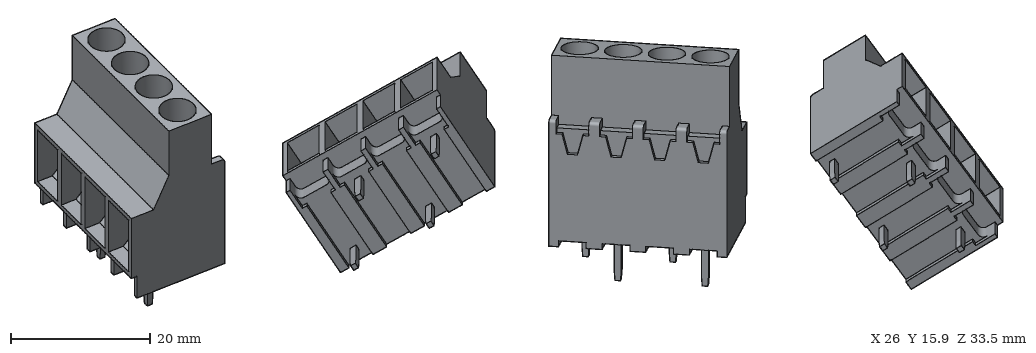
import cadquery as cq

WIDTH = 26.0
DEPTH = 15.85
HEIGHT = 33.5

POLE_COUNT = 4
PITCH = 6.35
POLE_CENTRES = [(pole - (POLE_COUNT - 1) / 2) * PITCH for pole in range(POLE_COUNT)]

FOOT_Z = 5.1
LIP_Z = 9.08
FRONT_TOP_Z = 20.15
SHOULDER_Z = 24.35
SLOPE_TOP_Z = 25.35
LIP_OVERHANG = 0.95
SLOPE_BOTTOM_Y = 3.75
NECK_FRONT_Y = 6.35
NECK_BACK_Y = 13.65
SHOULDER_RADIUS = 0.5

SCREW_DIAMETER = 5.35
SCREW_DEPTH = HEIGHT - SLOPE_TOP_Z

ENTRY_WIDTH = 5.33
ENTRY_FLOOR_Z = 9.85
ENTRY_TOP_Z = 19.33
ENTRY_FLOOR_LENGTH = 2.48
RAMP_RISE = 2.8

CAVITY_WIDTH = 5.55
CAVITY_BACK_Y = 3.28
FEET_FRONT_Y = 4.3
CAVITY_RADIUS = 0.95
CHANNEL_WIDTH = 4.05
CHANNEL_ROOF_Z = 6.0

RECESS_WIDTH = 4.8
RECESS_DEPTH = 1.35
STEP_THICKNESS = 0.7
STEP_DROP = 0.67
NOTCH_TOP_WIDTH = 3.0
NOTCH_BOTTOM_WIDTH = 1.45
NOTCH_DEPTH = 3.0

PIN_WIDTH = 1.05
PIN_THICKNESS = 0.87
FRONT_PIN_Y = 4.62
REAR_PIN_Y = 13.65
TIP_WIDTH = 0.8
TIP_LENGTH = 1.5


def box(width, x_centre, y_range, z_range):
    """Block centred on x_centre that fills the given Y and Z ranges."""
    y_start, y_end = y_range
    z_start, z_end = z_range
    return (
        cq.Workplane("XY")
        .box(width, y_end - y_start, z_end - z_start, centered=(True, False, False))
        .translate((x_centre, y_start, z_start))
    )


def side_extrusion(points, width, x_centre):
    """Y-Z outline extruded along X, centred on x_centre."""
    return (
        cq.Workplane("YZ")
        .polyline(points)
        .close()
        .extrude(width / 2, both=True)
        .translate((x_centre, 0, 0))
    )


def housing_blank():
    profile = [
        (LIP_OVERHANG, FOOT_Z),
        (LIP_OVERHANG, LIP_Z),
        (0, LIP_Z),
        (0, FRONT_TOP_Z),
        (SLOPE_BOTTOM_Y, FRONT_TOP_Z),
        (NECK_FRONT_Y, SLOPE_TOP_Z),
        (NECK_FRONT_Y, HEIGHT),
        (NECK_BACK_Y, HEIGHT),
        (NECK_BACK_Y, SHOULDER_Z),
        (DEPTH, SHOULDER_Z),
        (DEPTH, FOOT_Z),
    ]
    blank = side_extrusion(profile, WIDTH, 0)
    shoulder_edge = cq.selectors.NearestToPointSelector((0, DEPTH, SHOULDER_Z))
    return blank.edges(shoulder_edge).fillet(SHOULDER_RADIUS)


def screw_hole(x_centre):
    return (
        cq.Workplane("XY", origin=(x_centre, (NECK_FRONT_Y + NECK_BACK_Y) / 2, HEIGHT))
        .circle(SCREW_DIAMETER / 2)
        .extrude(-SCREW_DEPTH)
    )


def wire_entry(x_centre):
    back_y = ENTRY_FLOOR_LENGTH + RAMP_RISE
    profile = [
        (0, ENTRY_FLOOR_Z),
        (ENTRY_FLOOR_LENGTH, ENTRY_FLOOR_Z),
        (back_y, ENTRY_FLOOR_Z + RAMP_RISE),
        (back_y, ENTRY_TOP_Z),
        (0, ENTRY_TOP_Z),
    ]
    return side_extrusion(profile, ENTRY_WIDTH, x_centre)


def lip_cavity(x_centre):
    """Recess with rounded back corners above the channel roof and open up to the feet below it."""
    upper = box(CAVITY_WIDTH, x_centre, (LIP_OVERHANG, CAVITY_BACK_Y), (CHANNEL_ROOF_Z, LIP_Z))
    upper = upper.edges("|Z and >Y").fillet(CAVITY_RADIUS)
    lower = box(CAVITY_WIDTH, x_centre, (LIP_OVERHANG, FEET_FRONT_Y), (FOOT_Z, CHANNEL_ROOF_Z))
    return upper.union(lower)


def foot_channel(x_centre):
    return box(CHANNEL_WIDTH, x_centre, (FEET_FRONT_Y, DEPTH), (FOOT_Z, CHANNEL_ROOF_Z))


def rear_recess(x_centre):
    floor_z = SHOULDER_Z - RECESS_DEPTH
    step_y = DEPTH - STEP_THICKNESS
    step_z = floor_z - STEP_DROP
    upper = box(RECESS_WIDTH, x_centre, (NECK_BACK_Y, DEPTH), (floor_z, SHOULDER_Z))
    lower = box(RECESS_WIDTH, x_centre, (step_y, DEPTH), (step_z, floor_z))
    notch = (
        cq.Workplane("XZ", origin=(x_centre, DEPTH, step_z))
        .polyline(
            [
                (-NOTCH_TOP_WIDTH / 2, 0),
                (-NOTCH_BOTTOM_WIDTH / 2, -NOTCH_DEPTH),
                (NOTCH_BOTTOM_WIDTH / 2, -NOTCH_DEPTH),
                (NOTCH_TOP_WIDTH / 2, 0),
            ]
        )
        .close()
        .extrude(STEP_THICKNESS)
    )
    return upper.union(lower).union(notch)


def make_pin(x_centre, front_y):
    """Straight shank that ends against the channel roof, with a tapered tip below it."""
    profile = [
        (-TIP_WIDTH / 2, 0),
        (TIP_WIDTH / 2, 0),
        (PIN_WIDTH / 2, TIP_LENGTH),
        (PIN_WIDTH / 2, CHANNEL_ROOF_Z),
        (-PIN_WIDTH / 2, CHANNEL_ROOF_Z),
        (-PIN_WIDTH / 2, TIP_LENGTH),
    ]
    return (
        cq.Workplane("XZ", origin=(x_centre, front_y, 0))
        .polyline(profile)
        .close()
        .extrude(-PIN_THICKNESS)
    )


def make_housing():
    housing = housing_blank()
    for x_centre in POLE_CENTRES:
        housing = housing.cut(screw_hole(x_centre))
        housing = housing.cut(wire_entry(x_centre))
        housing = housing.cut(lip_cavity(x_centre))
        housing = housing.cut(foot_channel(x_centre))
        housing = housing.cut(rear_recess(x_centre))
    return housing


housing = make_housing()
pins = []
for pole, x_centre in enumerate(POLE_CENTRES):
    pin_y = REAR_PIN_Y if pole % 2 == 0 else FRONT_PIN_Y
    pins.append(make_pin(x_centre, pin_y).val())

result = cq.Compound.makeCompound([housing.val(), *pins])